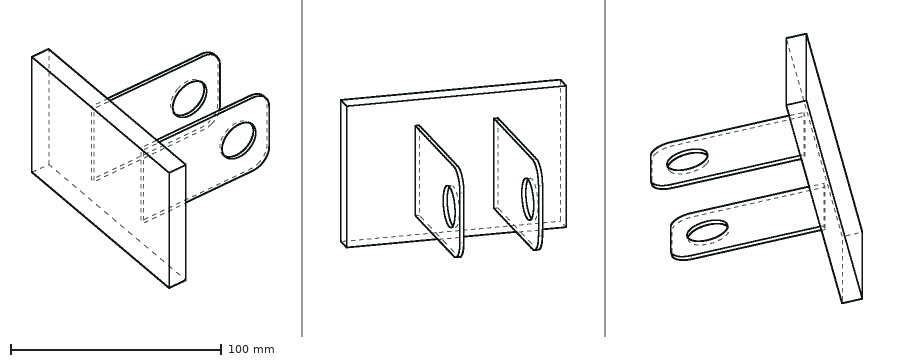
import cadquery as cq

plate_width = 108.9
plate_height = 70.86
plate_thickness = 10.0

lug_length = 75.0
lug_height = 45.0
lug_thickness = 2.0
lug_gap = 37.0
lug_corner_radius = 10.0

hole_diameter = 20.0
hole_to_lug_tip = 18.0

lug_tip_y = plate_thickness + lug_length
hole_y = lug_tip_y - hole_to_lug_tip
lug_offset = (lug_gap + lug_thickness) / 2


def make_plate():
    """Rectangular plate with its outer face on Y = 0."""
    return cq.Workplane("XY").box(
        plate_width, plate_thickness, plate_height, centered=(True, False, True)
    )


def make_lug(center_x):
    """Thin lug with two rounded tip corners and a pin hole, centred at center_x."""
    blank = (
        cq.Workplane("XY")
        .box(lug_thickness, lug_length, lug_height, centered=(True, False, True))
        .translate((center_x, plate_thickness, 0))
    )
    rounded = blank.faces(">Y").edges("|X").fillet(lug_corner_radius)
    hole = (
        cq.Workplane("YZ", origin=(center_x, hole_y, 0))
        .circle(hole_diameter / 2)
        .extrude(lug_thickness, both=True)
    )
    return rounded.cut(hole)


result = make_plate()
for side in (-1, 1):
    result = result.union(make_lug(side * lug_offset))